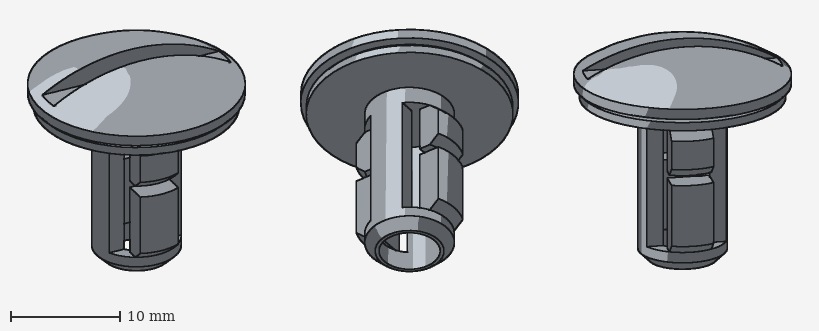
import cadquery as cq
import math

total_height = 20.9
tip_chamfer = 0.96
window_bottom = 1.97
window_top = 13.95
flange_bottom = 15.66
flange_top = 16.45
head_bottom = 16.94
rim_top = 17.92
slot_floor = 18.42
lower_tab_top = 8.76
upper_tab_bottom = 9.43

head_radius = 10.0
flange_radius = 9.5
shank_radius = 4.12
bore_radius = 2.8
tab_radius = 5.0

slot_width = 2.35
strip_width = 3.55
tab_width = 3.93
tab_inner_offset = 2.5
tab_chamfer = tab_radius - shank_radius

seal_outer_radius = 9.01
seal_section_radius = head_bottom - flange_top
seal_center_radius = seal_outer_radius - seal_section_radius
neck_radius = seal_center_radius - seal_section_radius

slot_half_width = slot_width / 2
dome_center_height = (
    total_height**2 + slot_half_width**2 - rim_top**2 - head_radius**2
) / (2 * (total_height - rim_top))
dome_radius = math.hypot(slot_half_width, total_height - dome_center_height)
crown_height = dome_center_height + dome_radius
dome_mid_radius = head_radius / 2
dome_mid_height = dome_center_height + math.sqrt(dome_radius**2 - dome_mid_radius**2)


def make_seal():
    """Round-section sealing ring between the head and the flange."""
    return (
        cq.Workplane("XZ")
        .center(seal_center_radius, head_bottom)
        .circle(seal_section_radius)
        .revolve(360, (-seal_center_radius, 0), (-seal_center_radius, 1))
    )


def make_turned_body():
    """Shank, flange, neck and domed head as one revolved profile."""
    return (
        cq.Workplane("XZ")
        .moveTo(0, 0)
        .lineTo(shank_radius - tip_chamfer, 0)
        .lineTo(shank_radius, tip_chamfer)
        .lineTo(shank_radius, flange_bottom)
        .lineTo(flange_radius, flange_bottom)
        .lineTo(flange_radius, flange_top)
        .lineTo(neck_radius, flange_top)
        .lineTo(neck_radius, head_bottom)
        .lineTo(head_radius, head_bottom)
        .lineTo(head_radius, rim_top)
        .threePointArc((dome_mid_radius, dome_mid_height), (0, crown_height))
        .close()
        .revolve(360, (0, 0), (0, 1))
    )


def make_bore():
    """Blind bore from the tip up to the top of the side windows."""
    return cq.Workplane("XY").circle(bore_radius).extrude(window_top)


def make_windows():
    """Shank space outside the two strips that stay at -Y and +Y."""
    window_height = window_top - window_bottom
    side_depth = 2 * shank_radius
    side_center = (strip_width + side_depth) / 2
    return (
        cq.Workplane("XY", origin=(0, 0, window_bottom))
        .pushPoints([(-side_center, 0), (side_center, 0)])
        .rect(side_depth, 2 * shank_radius)
        .extrude(window_height)
    )


def make_slot():
    """Screwdriver slot across the head along Y."""
    return (
        cq.Workplane("XY", origin=(0, 0, slot_floor))
        .rect(slot_width, 2 * head_radius)
        .extrude(crown_height - slot_floor)
    )


def make_tab(side, outline):
    """Tab on one X side, turned from its radius-height outline and trimmed flat."""
    turned = cq.Workplane("XZ").polyline(outline).close().revolve(360, (0, 0), (0, 1))
    tab_depth = tab_radius - tab_inner_offset
    keep = (
        cq.Workplane("XY")
        .center(side * (tab_inner_offset + tab_depth / 2), 0)
        .rect(tab_depth, tab_width)
        .extrude(total_height)
    )
    return turned.intersect(keep)


upper_tab_outline = [
    (0, upper_tab_bottom),
    (shank_radius, upper_tab_bottom),
    (tab_radius, upper_tab_bottom + tab_chamfer),
    (tab_radius, window_top - tab_chamfer),
    (shank_radius, window_top),
    (0, window_top),
]
lower_tab_outline = [
    (0, window_bottom),
    (shank_radius, window_bottom),
    (tab_radius, window_bottom + tab_chamfer),
    (tab_radius, lower_tab_top),
    (0, lower_tab_top),
]

seal = make_seal()
screw = make_turned_body().cut(make_bore()).cut(make_windows()).cut(make_slot()).cut(seal)
for side in (-1, 1):
    for outline in (upper_tab_outline, lower_tab_outline):
        screw = screw.union(make_tab(side, outline))

result = cq.Compound.makeCompound([screw.solids().val(), seal.val()])